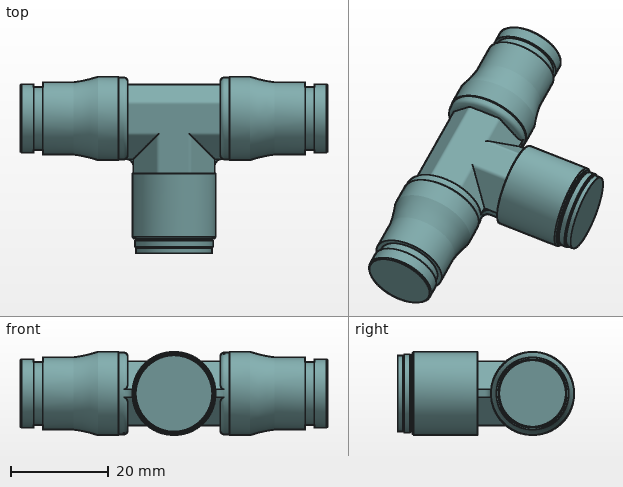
import cadquery as cq
import math

run_half_length = 31.5
body_radius = 8.6
overall_depth = 36.25
branch_reach = overall_depth - body_radius

cap_radius = 7.05
cap_length = 2.7
cap_chamfer = 0.25
neck_radius = 6.5
neck_end = 4.6
sleeve_radius = 7.45
sleeve_end = 10.85
flare_end = 15.9
flare_sag = 0.1
flat_end = 20.05
ring_step = 0.1
ring_end = 22.05
ring_fillet = 0.95

collar_start = 11.2
collar_end = 24.65
collar_inner_chamfer = 0.1
collar_outer_chamfer = 0.3
seat_radius = 7.8
seat_end = 24.9
rib_radius = 8.05
rib_chamfer = 0.25
rib_end = 26.35
gap_radius = 7.55
gap_end = 26.6
tip_radius = 7.8

core_half_height = 6.6
core_half_width = 8.4
core_flat_half_width = 3.35
core_band_half_height = 0.8
core_back = 7.0
core_edge_fillet = 0.95
back_edge_fillet = 0.2
web_radius = 1.4
core_overlap = 1.25
height_tolerance = 0.0005


def revolve_profile(profile):
    """Revolve a closed XY profile about the X axis."""
    return profile.close().revolve(360, (0, 0, 0), (1, 0, 0))


def run_end():
    """Turned end at +X."""
    cap_x = run_half_length - cap_length
    neck_x = run_half_length - neck_end
    sleeve_x = run_half_length - sleeve_end
    flare_x = run_half_length - flare_end
    flat_x = run_half_length - flat_end
    ring_x = run_half_length - ring_end
    ring_radius = body_radius - ring_step
    flare_middle = ((sleeve_x + flare_x) / 2, (sleeve_radius + body_radius) / 2 - flare_sag)
    arc_offset = ring_fillet * (1 - math.sqrt(0.5))
    profile = (
        cq.Workplane("XY")
        .moveTo(run_half_length, 0)
        .lineTo(run_half_length, cap_radius - cap_chamfer)
        .lineTo(run_half_length - cap_chamfer, cap_radius)
        .lineTo(cap_x, cap_radius)
        .lineTo(cap_x, neck_radius)
        .lineTo(neck_x, neck_radius)
        .lineTo(neck_x, sleeve_radius)
        .lineTo(sleeve_x, sleeve_radius)
        .threePointArc(flare_middle, (flare_x, body_radius))
        .lineTo(flat_x, body_radius)
        .lineTo(flat_x - ring_step, ring_radius)
        .lineTo(ring_x + ring_fillet, ring_radius)
        .threePointArc((ring_x + arc_offset, ring_radius - arc_offset), (ring_x, ring_radius - ring_fillet))
        .lineTo(ring_x, 0)
    )
    return revolve_profile(profile)


def branch_end():
    """Collar and stepped tip of the branch, turned about the Y axis."""
    profile = (
        cq.Workplane("XY")
        .moveTo(collar_start, 0)
        .lineTo(collar_start, body_radius - collar_inner_chamfer)
        .lineTo(collar_start + collar_inner_chamfer, body_radius)
        .lineTo(collar_end - collar_outer_chamfer, body_radius)
        .lineTo(collar_end, body_radius - collar_outer_chamfer)
        .lineTo(collar_end, seat_radius)
        .lineTo(seat_end, seat_radius)
        .lineTo(seat_end + rib_chamfer, rib_radius)
        .lineTo(rib_end, rib_radius)
        .lineTo(rib_end, gap_radius)
        .lineTo(gap_end, gap_radius)
        .lineTo(gap_end, tip_radius)
        .lineTo(branch_reach, tip_radius)
        .lineTo(branch_reach, 0)
    )
    return revolve_profile(profile).rotate((0, 0, 0), (0, 0, 1), -90)


def core_section(plane):
    """Section of a bar: flats at top and bottom, sloping sides and a narrow upright band."""
    corners = [
        (core_flat_half_width, core_half_height),
        (core_half_width, core_band_half_height),
        (core_half_width, -core_band_half_height),
        (core_flat_half_width, -core_half_height),
    ]
    mirrored = [(-side, height) for side, height in reversed(corners)]
    return cq.Workplane(plane).polyline(corners + mirrored).close()


def on_flat_edge(edge):
    """True for the edges at the level of the top and bottom flats."""
    return math.isclose(abs(edge.Center().z), core_half_height, abs_tol=height_tolerance)


def round_flats(bar, direction):
    """Round the edges of the top and bottom flats that run along the bar."""
    edges = [edge for edge in bar.edges(direction).vals() if on_flat_edge(edge)]
    return bar.newObject(edges).fillet(core_edge_fillet)


def run_bar():
    half_length = run_half_length - ring_end + core_overlap
    bar = round_flats(core_section("YZ").extrude(half_length, both=True), "|X")
    beyond_back = cq.Workplane("XY").box(
        2 * half_length, core_half_width, 2 * core_half_height, centered=(True, False, True)
    )
    bar = bar.cut(beyond_back.translate((0, core_back, 0)))
    return bar.faces(">Y").edges("|X").fillet(back_edge_fillet)


def branch_bar():
    return round_flats(core_section("XZ").extrude(collar_start), "|Y")


def corner_web(side):
    """Concave web in the corner between the bars, on the +X (1) or -X (-1) side."""
    inner = core_half_width
    outer = core_half_width + web_radius
    middle = outer - web_radius * math.sqrt(0.5)
    return (
        cq.Workplane("XY")
        .workplane(offset=-core_band_half_height)
        .moveTo(side * inner, -inner)
        .lineTo(side * outer, -inner)
        .threePointArc((side * middle, -middle), (side * inner, -outer))
        .close()
        .extrude(2 * core_band_half_height)
    )


right_end = run_end()
left_end = right_end.mirror("YZ")

result = run_bar().union(branch_bar())
for piece in (corner_web(1), corner_web(-1), right_end, left_end, branch_end()):
    result = result.union(piece)